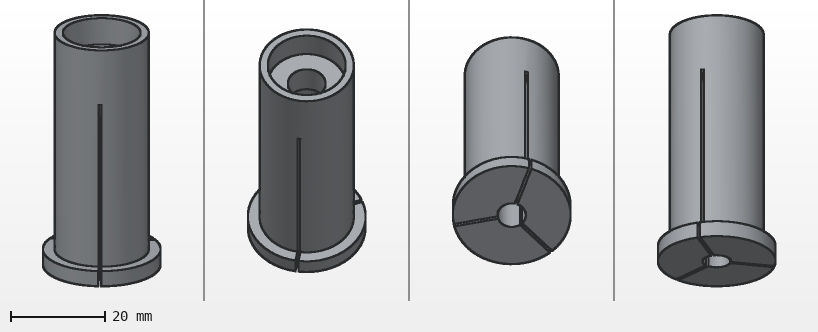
import cadquery as cq
import math

flange_diameter = 25.0
flange_thickness = 3.5
tube_diameter = 20.0
total_height = 52.9

guide_bore_diameter = 6.0
guide_bore_length = 25.0
cavity_diameter = 12.0

slot_count = 3
slot_width = 0.6
slot_height = 40.4
slot_end_slope = 47.0
first_slot_angle = 90.0

plug_diameter = 16.5
plug_hole_diameter = 8.0
plug_top_height = total_height - 6.0
plug_seat_height = slot_height


def cylinder(diameter, bottom, top):
    """Upright cylinder on the Z axis between two heights."""
    return cq.Workplane("XY").workplane(offset=bottom).circle(diameter / 2).extrude(top - bottom)


def slot_cutter(angle):
    """Radial slot from the axis outwards, with an end face that falls towards the axis."""
    tube_radius = tube_diameter / 2
    reach = flange_diameter
    slope = math.tan(math.radians(slot_end_slope))
    height_at_axis = slot_height - slope * tube_radius
    height_at_reach = height_at_axis + slope * reach
    outline = [(0, 0), (reach, 0), (reach, height_at_reach), (0, height_at_axis)]
    cutter = cq.Workplane("XZ").polyline(outline).close().extrude(slot_width / 2, both=True)
    return cutter.rotate((0, 0, 0), (0, 0, 1), angle)


def make_sleeve():
    """Flanged tube with a stepped bore and slotted jaws."""
    body = cylinder(flange_diameter, 0, flange_thickness)
    body = body.union(cylinder(tube_diameter, 0, total_height))
    body = body.cut(cylinder(guide_bore_diameter, 0, guide_bore_length))
    body = body.cut(cylinder(cavity_diameter, guide_bore_length, plug_seat_height))
    body = body.cut(cylinder(plug_diameter, plug_seat_height, total_height))
    for index in range(slot_count):
        body = body.cut(slot_cutter(first_slot_angle + index * 360 / slot_count))
    return body


def make_plug():
    """Pierced disc that rests on the seat above the cavity."""
    disc = cylinder(plug_diameter, plug_seat_height, plug_top_height)
    return disc.cut(cylinder(plug_hole_diameter, plug_seat_height, plug_top_height))


sleeve = make_sleeve()
plug = make_plug()

result = cq.Compound.makeCompound([sleeve.val(), plug.val()])